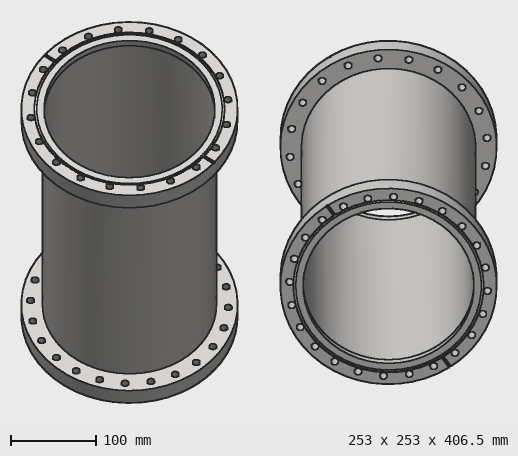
import cadquery as cq
import math

overall_length = 406.5

flange_diameter = 253.0
flange_radius = flange_diameter / 2
flange_thickness = 24.5
bore_radius = 100.0

land_radius = 108.5
recess_radius = 111.5
land_depth = 1.0
flank_angle = 20.0
flank_drop = (recess_radius - land_radius) * math.tan(math.radians(flank_angle))

bolt_circle_radius = 116.0
bolt_hole_diameter = 8.5
bolt_start_angle = 14.7
upper_bolt_count = 20
lower_bolt_count = 24
groove_width = 2.5
groove_depth = 1.2

tube_outer_radius = 102.0
tube_inner_radius = bore_radius
tube_end_inset = 11.0


def ring(outer_radius, inner_radius, height):
    """Ring standing on Z = 0."""
    return cq.Workplane("XY").circle(outer_radius).circle(inner_radius).extrude(height)


def seal_recess():
    """Cut that leaves the sunken land, its sloping flank and the upright wall around them."""
    face = flange_thickness
    land = face - land_depth
    return (
        cq.Workplane("XZ")
        .moveTo(0, face)
        .lineTo(recess_radius, face)
        .lineTo(recess_radius, land - flank_drop)
        .lineTo(land_radius, land)
        .lineTo(0, land)
        .close()
        .revolve(360, (0, 0, 0), (0, 1, 0))
    )


def bolt_holes(count):
    """Evenly spaced through holes, one of them at the start angle."""
    return (
        cq.Workplane("XY")
        .polarArray(bolt_circle_radius, bolt_start_angle, 360, count)
        .circle(bolt_hole_diameter / 2)
        .extrude(flange_thickness)
    )


def leak_grooves(count):
    """Two opposite radial grooves, midway between bolt holes, from the recess to the rim."""
    groove_angle = bolt_start_angle + 180 / count
    bar = cq.Workplane("XY").box(
        2 * flange_radius, groove_width, groove_depth, centered=(True, True, False)
    )
    bar = bar.translate((0, 0, flange_thickness - groove_depth))
    core = cq.Workplane("XY").circle(recess_radius).extrude(flange_thickness)
    return bar.cut(core).rotate((0, 0, 0), (0, 0, 1), groove_angle)


def make_flange(bolt_count):
    """Flange with its back on Z = 0 and its sealing face upward."""
    socket_depth = flange_thickness - tube_end_inset
    socket = cq.Workplane("XY").circle(tube_outer_radius).extrude(socket_depth)
    return (
        ring(flange_radius, bore_radius, flange_thickness)
        .cut(socket)
        .cut(seal_recess())
        .cut(bolt_holes(bolt_count))
        .cut(leak_grooves(bolt_count))
    )


def make_tube():
    """Thin tube that ends short of both sealing faces."""
    length = overall_length - 2 * tube_end_inset
    return ring(tube_outer_radius, tube_inner_radius, length).translate((0, 0, tube_end_inset))


upper_flange = make_flange(upper_bolt_count).translate((0, 0, overall_length - flange_thickness))
lower_flange = make_flange(lower_bolt_count).mirror("XY").translate((0, 0, flange_thickness))
tube = make_tube()

result = cq.Compound.makeCompound([upper_flange.val(), lower_flange.val(), tube.val()])